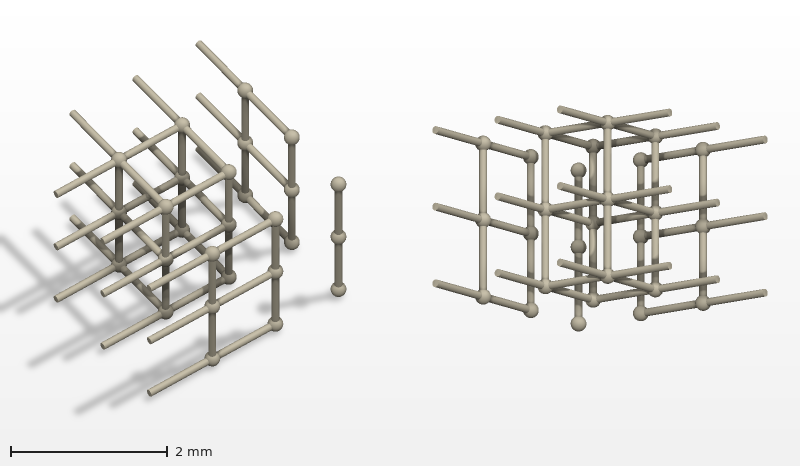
import cadquery as cq

LENGTH = 3.1
ROD_DIAMETER = 0.1
BALL_DIAMETER = 0.2
NODES = 3

ball_radius = BALL_DIAMETER / 2
rod_radius = ROD_DIAMETER / 2
pitch = (LENGTH - ball_radius) / NODES
levels = [level * pitch for level in range(NODES)]
column_height = levels[-1]

inner_nodes = [pitch, 2 * pitch]
outer_node = NODES * pitch
rod_length = inner_nodes[-1]

ALONG_X = cq.Vector(1, 0, 0)
ALONG_Y = cq.Vector(0, 1, 0)
ALONG_Z = cq.Vector(0, 0, 1)


def rod(start, direction, length):
    """Round rod running from the start point along the direction."""
    return cq.Workplane(cq.Solid.makeCylinder(rod_radius, length, cq.Vector(*start), direction))


def ball_column(x, y):
    """Upright rod with a ball at every level."""
    column = rod((x, y, 0), ALONG_Z, column_height)
    for z in levels:
        column = column.union(cq.Workplane().sphere(ball_radius).translate((x, y, z)))
    return column


def lattice(x_nodes, y_nodes, has_x_rods, has_y_rods):
    """Ball columns joined at every level by rods that end free at X = 0 or Y = 0."""
    columns = [ball_column(x, y) for x in x_nodes for y in y_nodes]
    body = columns[0]
    for column in columns[1:]:
        body = body.union(column)
    for z in levels:
        if has_x_rods:
            for y in y_nodes:
                body = body.union(rod((0, y, z), ALONG_X, rod_length))
        if has_y_rods:
            for x in x_nodes:
                body = body.union(rod((x, 0, z), ALONG_Y, rod_length))
    return body


main_lattice = lattice(inner_nodes, inner_nodes, has_x_rods=True, has_y_rods=True)
x_rod_panel = lattice(inner_nodes, [outer_node], has_x_rods=True, has_y_rods=False)
y_rod_panel = lattice([outer_node], inner_nodes, has_x_rods=False, has_y_rods=True)
corner_column = ball_column(outer_node, outer_node)

result = cq.Compound.makeCompound([
    main_lattice.solids().val(),
    x_rod_panel.solids().val(),
    y_rod_panel.solids().val(),
    corner_column.solids().val(),
])